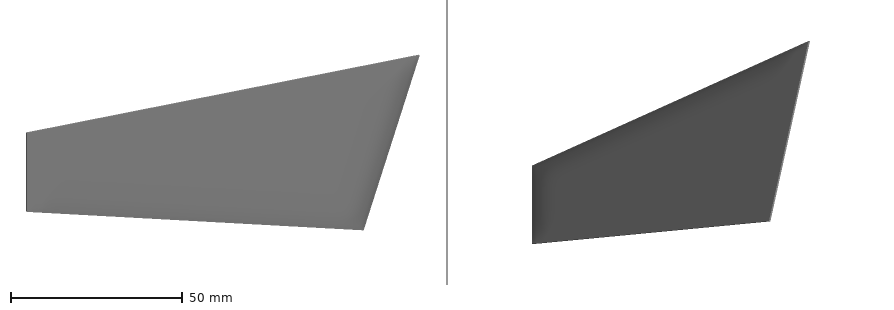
import cadquery as cq

length = 140.0
height = 50.0
thickness = 0.5
tip_height = 24.1
corner_inset = 20.0

half_length = length / 2
top = height / 2
outline = [
    (half_length, top),
    (-half_length, top),
    (-half_length, top - tip_height),
    (half_length - corner_inset, top - height),
]

result = cq.Workplane("YZ").polyline(outline).close().extrude(thickness / 2, both=True)